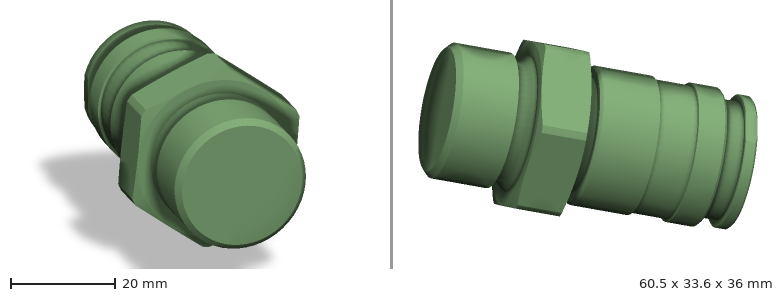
import cadquery as cq
import math

TOTAL_LENGTH = 60.45
FLANGE_LENGTH = 2.4
SLEEVE_FRONT = 6.3
SLEEVE_BACK = 31.8
HEX_FRONT = 34.45
HEX_BACK = 44.5
THREAD_START = 48.2

FLANGE_DIAMETER = 26.0
FLANGE_FRONT_CHAMFER = 0.4
FLANGE_BACK_CHAMFER = 0.2
FLATS_WIDTH = 25.0

SHAFT_DIAMETER = 23.1
NECK_DIAMETER = 22.7

HEX_SIDES = 6
HEX_ACROSS_FLATS = 32.0
HEX_CORNER_DIAMETER = 36.1
HEX_TURN = 6.2
HEX_FACE_DIAMETER = 31.8
HEX_CHAMFER_LENGTH = 0.55

THREAD_DIAMETER = 26.4
THREAD_CHAMFER = 1.15
UNDERCUT_DIAMETER = 23.6
UNDERCUT_RADIUS = 1.7
UNDERCUT_CONE_ANGLE = 45.0
UNDERCUT_WALL_SLOPE = 0.2

SLEEVE_DIAMETER = 27.15
SLEEVE_CHAMFER = 0.55
SLEEVE_BAND_DIAMETER = 26.0
SLEEVE_BAND_START = 12.1
SLEEVE_BAND_END = 19.9
SLEEVE_BAND_SLOPE = 0.1


def revolve_about_x(profile):
    """Turn a closed (x, radius) profile once around the X axis."""
    return profile.close().revolve(360, (0, 0, 0), (1, 0, 0))


def cylinder_along_x(start, end, diameter):
    """Solid cylinder on the X axis between two stations."""
    return cq.Workplane("YZ", origin=(start, 0, 0)).circle(diameter / 2).extrude(end - start)


def make_flange():
    """Chamfered front disc with a flat on each Y side."""
    disc = (
        cylinder_along_x(0, FLANGE_LENGTH, FLANGE_DIAMETER)
        .faces("<X").chamfer(FLANGE_FRONT_CHAMFER)
        .faces(">X").chamfer(FLANGE_BACK_CHAMFER)
    )
    between_flats = cq.Workplane("XY").box(
        2 * FLANGE_LENGTH, FLATS_WIDTH, FLANGE_DIAMETER
    )
    return disc.intersect(between_flats)


def make_shaft():
    """Bearing diameter for the sleeve, then the thinner neck up to the hexagon."""
    bearing = cylinder_along_x(FLANGE_LENGTH, SLEEVE_BACK, SHAFT_DIAMETER)
    neck = cylinder_along_x(SLEEVE_BACK, HEX_FRONT, NECK_DIAMETER)
    return bearing.union(neck)


def make_hexagon():
    """Hexagon with turned corners and a conical chamfer on both ends."""
    point_to_point = HEX_ACROSS_FLATS / math.cos(math.pi / HEX_SIDES)
    prism = (
        cq.Workplane("YZ", origin=(HEX_FRONT, 0, 0))
        .transformed(rotate=(0, 0, 90 - HEX_TURN))
        .polygon(HEX_SIDES, point_to_point)
        .extrude(HEX_BACK - HEX_FRONT)
    )
    face_radius = HEX_FACE_DIAMETER / 2
    corner_radius = HEX_CORNER_DIAMETER / 2
    turned_blank = revolve_about_x(
        cq.Workplane("XY")
        .moveTo(HEX_FRONT, 0)
        .lineTo(HEX_FRONT, face_radius)
        .lineTo(HEX_FRONT + HEX_CHAMFER_LENGTH, corner_radius)
        .lineTo(HEX_BACK - HEX_CHAMFER_LENGTH, corner_radius)
        .lineTo(HEX_BACK, face_radius)
        .lineTo(HEX_BACK, 0)
    )
    return prism.intersect(turned_blank)


def make_threaded_end():
    """Undercut behind the hexagon, running into the chamfered thread cylinder."""
    thread_radius = THREAD_DIAMETER / 2
    cone_angle = math.radians(UNDERCUT_CONE_ANGLE)
    arc_center_radius = UNDERCUT_DIAMETER / 2 + UNDERCUT_RADIUS
    cone_end_radius = arc_center_radius - UNDERCUT_RADIUS * math.cos(cone_angle)
    cone_end_x = HEX_BACK + (thread_radius - cone_end_radius) / math.tan(cone_angle)
    arc_center_x = cone_end_x + UNDERCUT_RADIUS * math.sin(cone_angle)
    wall_x = THREAD_START - UNDERCUT_WALL_SLOPE
    arc_reach = wall_x - arc_center_x
    arc_end_radius = arc_center_radius - math.sqrt(UNDERCUT_RADIUS**2 - arc_reach**2)
    return revolve_about_x(
        cq.Workplane("XY")
        .moveTo(HEX_BACK, 0)
        .lineTo(HEX_BACK, thread_radius)
        .lineTo(cone_end_x, cone_end_radius)
        .threePointArc((arc_center_x, UNDERCUT_DIAMETER / 2), (wall_x, arc_end_radius))
        .lineTo(THREAD_START, thread_radius)
        .lineTo(TOTAL_LENGTH - THREAD_CHAMFER, thread_radius)
        .lineTo(TOTAL_LENGTH, thread_radius - THREAD_CHAMFER)
        .lineTo(TOTAL_LENGTH, 0)
    )


def make_body():
    """One-piece core: flange, shaft, hexagon and threaded end."""
    return make_flange().union(make_shaft()).union(make_hexagon()).union(make_threaded_end())


def make_sleeve():
    """Ring on the shaft with chamfered ends and a shallow recessed band."""
    bore_radius = SHAFT_DIAMETER / 2
    outer_radius = SLEEVE_DIAMETER / 2
    band_radius = SLEEVE_BAND_DIAMETER / 2
    return revolve_about_x(
        cq.Workplane("XY")
        .moveTo(SLEEVE_FRONT, bore_radius)
        .lineTo(SLEEVE_FRONT, outer_radius - SLEEVE_CHAMFER)
        .lineTo(SLEEVE_FRONT + SLEEVE_CHAMFER, outer_radius)
        .lineTo(SLEEVE_BAND_START, outer_radius)
        .lineTo(SLEEVE_BAND_START + SLEEVE_BAND_SLOPE, band_radius)
        .lineTo(SLEEVE_BAND_END - SLEEVE_BAND_SLOPE, band_radius)
        .lineTo(SLEEVE_BAND_END, outer_radius)
        .lineTo(SLEEVE_BACK - SLEEVE_CHAMFER, outer_radius)
        .lineTo(SLEEVE_BACK, outer_radius - SLEEVE_CHAMFER)
        .lineTo(SLEEVE_BACK, bore_radius)
    )


body = make_body()
sleeve = make_sleeve()
result = cq.Compound.makeCompound([body.val(), sleeve.val()])